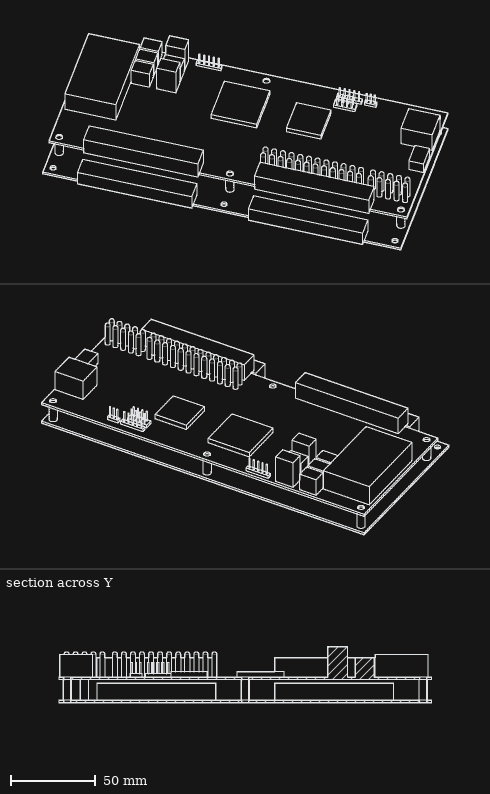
import cadquery as cq

BOARD_LENGTH = 220.0
LOWER_BOARD_WIDTH = 100.0
UPPER_BOARD_WIDTH = 87.0
BOARD_THICKNESS = 1.6
STANDOFF_HEIGHT = 12.0
UPPER_BOARD_BOTTOM = BOARD_THICKNESS + STANDOFF_HEIGHT
UPPER_BOARD_TOP = UPPER_BOARD_BOTTOM + BOARD_THICKNESS
UPPER_BOARD_FRONT = LOWER_BOARD_WIDTH - UPPER_BOARD_WIDTH

STANDOFF_DIAMETER = 5.0
LOWER_HOLE_DIAMETER = 3.5
UPPER_HOLE_DIAMETER = 4.0
HOLE_INSET = 5.0
MIDDLE_X = BOARD_LENGTH / 2
HOLE_COLUMNS = (HOLE_INSET, MIDDLE_X, BOARD_LENGTH - HOLE_INSET)
LOWER_HOLE_Y = HOLE_INSET
FRONT_STANDOFF_Y = 17.75
MIDDLE_FRONT_STANDOFF_Y = 17.5
BACK_STANDOFF_Y = LOWER_BOARD_WIDTH - HOLE_INSET
SOLID_STANDOFF_PLACE = (205.0, 40.0)

CONNECTOR_LENGTH = 70.2
CONNECTOR_LEFT_ENDS = (22.4, 127.4)
CONNECTOR_OVERHANG = 3.5
LOWER_CONNECTOR_DEPTH = 11.0
LOWER_CONNECTOR_HEIGHT = 10.0
UPPER_CONNECTOR_DEPTH = 11.6
UPPER_CONNECTOR_HEIGHT = 11.4

POWER_MODULE_CORNER = (2.0, 40.0)
POWER_MODULE_SIZE = (31.4, 50.4, 13.4)

RELAY_ROWS = (89.8, 80.3, 70.8)
RELAY_DEPTH = 8.2
LEFT_RELAY_X = 33.9
LEFT_RELAY_LENGTH = 11.2
RIGHT_RELAY_X = 49.6
RIGHT_RELAY_LENGTH = 11.8
LOW_RELAY_HEIGHT = 11.4
TALL_RELAY_HEIGHT = 18.0

CHIP_HEIGHT = 3.2
LARGE_CHIP_SIDE = 28.0
LARGE_CHIP_CORNER = (87.0, 57.0)
SMALL_CHIP_SIDE = 21.2
SMALL_CHIP_CORNER = (132.7, 59.0)

SOCKET_END = 219.5
LARGE_SOCKET_SIZE = (19.2, 16.4, 13.4)
LARGE_SOCKET_Y = 68.6
SMALL_SOCKET_SIZE = (9.0, 13.0, 7.4)
SMALL_SOCKET_Y = 50.0

LAMP_DIAMETER = 3.0
LAMP_HEIGHT = 14.9
LAMP_ROWS = (25.2, 30.0)
LAMP_GROUPS = ((128.2, 12, 5.34), (194.3, 5, 5.28))

PIN_DIAMETER = 0.8
PIN_HEIGHT = 8.7
PIN_ROW_SPACING = 2.5
WIDE_PIN_SPACING = 2.95
NARROW_PIN_SPACING = 2.5
HEADER_HEIGHT = 2.0
SINGLE_ROW_DEPTH = 2.5
DOUBLE_ROW_DEPTH = 4.8
FIVE_PIN_LENGTH = 15.2
THREE_PIN_LENGTH = 7.1
EIGHT_PIN_LENGTH = 13.2
LEFT_HEADER_CORNER = (66.7, 95.2)
RIGHT_HEADERS_X = 153.8
RIGHT_SINGLE_ROW_Y = 92.4
DOUBLE_ROW_Y = 85.6
THREE_PIN_X = 170.9


def block(corner, size, base):
    """A rectangular block with its lowest corner at the given place."""
    return cq.Workplane("XY").box(*size, centered=False).translate((*corner, base))


def cylinder(place, diameter, height, base):
    """An upright cylinder standing at the given height."""
    return cq.Workplane("XY").circle(diameter / 2).extrude(height).translate((*place, base))


def standoff(place):
    """A round pillar between the two boards."""
    return cylinder(place, STANDOFF_DIAMETER, STANDOFF_HEIGHT, BOARD_THICKNESS)


def lamp(place):
    """A round lamp with a domed top."""
    radius = LAMP_DIAMETER / 2
    body_height = LAMP_HEIGHT - radius
    body = cylinder(place, LAMP_DIAMETER, body_height, UPPER_BOARD_TOP)
    dome = cq.Workplane("XY").sphere(radius).translate((*place, UPPER_BOARD_TOP + body_height))
    return body.union(dome)


def pin_header(corner, length, columns, spacing, depth=SINGLE_ROW_DEPTH, rows=1):
    """A low strip carrying a centred grid of thin upright pins."""
    header = block(corner, (length, depth, HEADER_HEIGHT), UPPER_BOARD_TOP)
    first_x = corner[0] + (length - (columns - 1) * spacing) / 2
    first_y = corner[1] + (depth - (rows - 1) * PIN_ROW_SPACING) / 2
    for column in range(columns):
        for row in range(rows):
            place = (first_x + column * spacing, first_y + row * PIN_ROW_SPACING)
            header = header.union(cylinder(place, PIN_DIAMETER, PIN_HEIGHT, UPPER_BOARD_TOP))
    return header


def boards():
    """The two boards, joined by standoffs and drilled with the mounting holes."""
    lower_size = (BOARD_LENGTH, LOWER_BOARD_WIDTH, BOARD_THICKNESS)
    upper_size = (BOARD_LENGTH, UPPER_BOARD_WIDTH, BOARD_THICKNESS)
    pair = block((0, 0), lower_size, 0)
    pair = pair.union(block((0, UPPER_BOARD_FRONT), upper_size, UPPER_BOARD_BOTTOM))
    pair = pair.union(standoff(SOLID_STANDOFF_PLACE))
    for x in HOLE_COLUMNS:
        front_y = MIDDLE_FRONT_STANDOFF_Y if x == MIDDLE_X else FRONT_STANDOFF_Y
        for y in (front_y, BACK_STANDOFF_Y):
            pair = pair.union(standoff((x, y)))
            pair = pair.cut(cylinder((x, y), UPPER_HOLE_DIAMETER, UPPER_BOARD_TOP, 0))
        pair = pair.cut(cylinder((x, LOWER_HOLE_Y), LOWER_HOLE_DIAMETER, BOARD_THICKNESS, 0))
    return pair


def connectors():
    """The long edge connectors, two on each board, overhanging its front edge."""
    lower_size = (CONNECTOR_LENGTH, LOWER_CONNECTOR_DEPTH, LOWER_CONNECTOR_HEIGHT)
    upper_size = (CONNECTOR_LENGTH, UPPER_CONNECTOR_DEPTH, UPPER_CONNECTOR_HEIGHT)
    upper_y = UPPER_BOARD_FRONT - CONNECTOR_OVERHANG
    parts = []
    for x in CONNECTOR_LEFT_ENDS:
        parts.append(block((x, -CONNECTOR_OVERHANG), lower_size, BOARD_THICKNESS))
        parts.append(block((x, upper_y), upper_size, UPPER_BOARD_TOP))
    return parts


def relays():
    """Two columns of relays; the outer two of the right column are tall."""
    parts = []
    right_heights = (TALL_RELAY_HEIGHT, LOW_RELAY_HEIGHT, TALL_RELAY_HEIGHT)
    for y, right_height in zip(RELAY_ROWS, right_heights):
        left_size = (LEFT_RELAY_LENGTH, RELAY_DEPTH, LOW_RELAY_HEIGHT)
        right_size = (RIGHT_RELAY_LENGTH, RELAY_DEPTH, right_height)
        parts.append(block((LEFT_RELAY_X, y), left_size, UPPER_BOARD_TOP))
        parts.append(block((RIGHT_RELAY_X, y), right_size, UPPER_BOARD_TOP))
    return parts


def chips():
    """The two flat square chips."""
    large_size = (LARGE_CHIP_SIDE, LARGE_CHIP_SIDE, CHIP_HEIGHT)
    small_size = (SMALL_CHIP_SIDE, SMALL_CHIP_SIDE, CHIP_HEIGHT)
    return [
        block(LARGE_CHIP_CORNER, large_size, UPPER_BOARD_TOP),
        block(SMALL_CHIP_CORNER, small_size, UPPER_BOARD_TOP),
    ]


def sockets():
    """The two sockets, set in line just inside the right end of the upper board."""
    parts = []
    for size, y in ((LARGE_SOCKET_SIZE, LARGE_SOCKET_Y), (SMALL_SOCKET_SIZE, SMALL_SOCKET_Y)):
        parts.append(block((SOCKET_END - size[0], y), size, UPPER_BOARD_TOP))
    return parts


def lamps():
    """All the indicator lamps."""
    parts = []
    for first_x, count, spacing in LAMP_GROUPS:
        for number in range(count):
            for y in LAMP_ROWS:
                parts.append(lamp((first_x + number * spacing, y)))
    return parts


def pin_headers():
    """Two five-pin headers, a three-pin header and an eight-pin header in two rows."""
    right_five_pin_corner = (RIGHT_HEADERS_X, RIGHT_SINGLE_ROW_Y)
    three_pin_corner = (THREE_PIN_X, RIGHT_SINGLE_ROW_Y)
    eight_pin_corner = (RIGHT_HEADERS_X, DOUBLE_ROW_Y)
    return [
        pin_header(LEFT_HEADER_CORNER, FIVE_PIN_LENGTH, 5, WIDE_PIN_SPACING),
        pin_header(right_five_pin_corner, FIVE_PIN_LENGTH, 5, WIDE_PIN_SPACING),
        pin_header(three_pin_corner, THREE_PIN_LENGTH, 3, NARROW_PIN_SPACING),
        pin_header(eight_pin_corner, EIGHT_PIN_LENGTH, 4, WIDE_PIN_SPACING, DOUBLE_ROW_DEPTH, 2),
    ]


power_module = block(POWER_MODULE_CORNER, POWER_MODULE_SIZE, UPPER_BOARD_TOP)
components = [power_module, *connectors(), *relays(), *chips(), *sockets(), *lamps(), *pin_headers()]

result = boards()
for component in components:
    result = result.union(component)